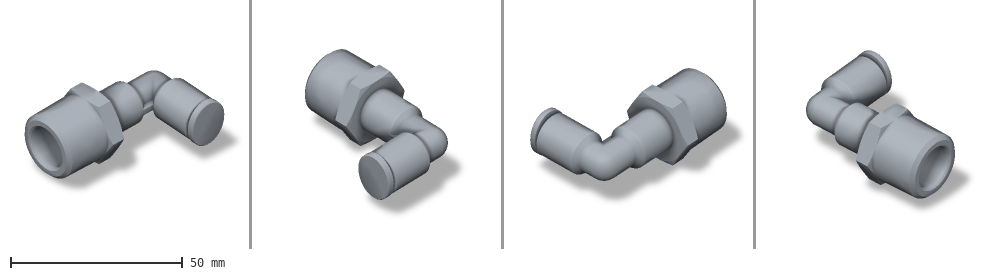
import cadquery as cq
import math


pipe_radius = 5.0
sleeve_radius = 6.8
shoulder_length = 2.0
shoulder_fillet = 1.0
arm_shoulder_start = 5.05
stem_shoulder_start = 8.3
web_thickness = 2.0

arm_length = 20.8
arm_chamfer = 0.25
neck_radius = 4.85
ring_start = 21.65
ring_end = 23.6
ring_half_width = 6.45
ring_half_height = 7.55
ring_chamfer = 0.3

hex_across_flats = 21.0
hex_near = 22.25
hex_thickness = 5.55
hex_far = hex_near + hex_thickness
hex_chamfer_angle = 20.0
hex_flat_radius = hex_across_flats / 2
hex_corner_radius = hex_across_flats / math.sqrt(3)

overall_length = 49.6
thread_end = overall_length - sleeve_radius
thread_base_radius = hex_flat_radius
thread_tip_radius = 10.2
thread_chamfer = 1.25

bore_radius = 6.8
bore_chamfer = 0.5
drill_point_angle = 118.0
bore_point_length = bore_radius / math.tan(math.radians(drill_point_angle / 2))


def turned(profile):
    """Revolve (distance along axis, radius) points about the X axis."""
    return cq.Workplane("XY").polyline(profile).close().revolve(360, (0, 0, 0), (1, 0, 0))


def stem_turned(profile):
    """Turned shape laid along the -Y stem axis."""
    return turned(profile).rotate((0, 0, 0), (0, 0, 1), -90)


def stepped_pipe(shoulder_start, length):
    """Pipe along +X that widens through a filleted cone into a sleeve."""
    shoulder_end = shoulder_start + shoulder_length
    pipe = turned([
        (0, 0),
        (0, pipe_radius),
        (shoulder_start, pipe_radius),
        (shoulder_end, sleeve_radius),
        (length, sleeve_radius),
        (length, 0),
    ])
    shoulder_edges = cq.selectors.BoxSelector(
        (shoulder_start - shoulder_fillet, -sleeve_radius, -sleeve_radius),
        (shoulder_end + shoulder_fillet, sleeve_radius, sleeve_radius),
    )
    return pipe.edges(shoulder_edges).edges("%CIRCLE").fillet(shoulder_fillet)


def tube_arm():
    """Arm sleeve with its neck and the elliptical release ring."""
    sleeve = stepped_pipe(arm_shoulder_start, arm_length).faces(">X").edges().chamfer(arm_chamfer)
    neck = (
        cq.Workplane("YZ")
        .workplane(offset=arm_length)
        .circle(neck_radius)
        .extrude(ring_start - arm_length)
    )
    ring = (
        cq.Workplane("YZ")
        .workplane(offset=ring_start)
        .ellipse(ring_half_width, ring_half_height)
        .extrude(ring_end - ring_start)
        .faces(">X")
        .edges()
        .chamfer(ring_chamfer)
    )
    return sleeve.union(neck).union(ring)


def corner_web():
    """Thin plate filling the inside corner between the two pipes."""
    web_height = stem_shoulder_start + shoulder_length
    return (
        cq.Workplane("XY")
        .box(sleeve_radius, web_height, web_thickness, centered=(False, False, True))
        .translate((0, -web_height, 0))
    )


def hex_collar():
    """Hexagon with corners on the X axis, both faces chamfered by cones."""
    prism = (
        cq.Workplane("XZ")
        .workplane(offset=hex_near)
        .polygon(6, 2 * hex_corner_radius)
        .extrude(hex_thickness)
    )
    chamfer_depth = (hex_corner_radius - hex_flat_radius) * math.tan(math.radians(hex_chamfer_angle))
    envelope = stem_turned([
        (hex_near, 0),
        (hex_near, hex_flat_radius),
        (hex_near + chamfer_depth, hex_corner_radius),
        (hex_far - chamfer_depth, hex_corner_radius),
        (hex_far, hex_flat_radius),
        (hex_far, 0),
    ])
    return prism.intersect(envelope)


def thread():
    """Tapered thread blank with a chamfered tip."""
    return stem_turned([
        (hex_far, 0),
        (hex_far, thread_base_radius),
        (thread_end - thread_chamfer, thread_tip_radius),
        (thread_end, thread_tip_radius - thread_chamfer),
        (thread_end, 0),
    ])


def bore():
    """Drilled hole reaching the collar, with a conical end and a chamfered mouth."""
    return stem_turned([
        (hex_far - bore_point_length, 0),
        (hex_far, bore_radius),
        (thread_end - bore_chamfer, bore_radius),
        (thread_end, bore_radius + bore_chamfer),
        (thread_end, 0),
    ])


elbow_ball = cq.Workplane("XY").sphere(pipe_radius)
stem = stepped_pipe(stem_shoulder_start, hex_near).rotate((0, 0, 0), (0, 0, 1), -90)

result = (
    elbow_ball
    .union(tube_arm())
    .union(stem)
    .union(corner_web())
    .union(hex_collar())
    .union(thread())
    .cut(bore())
)